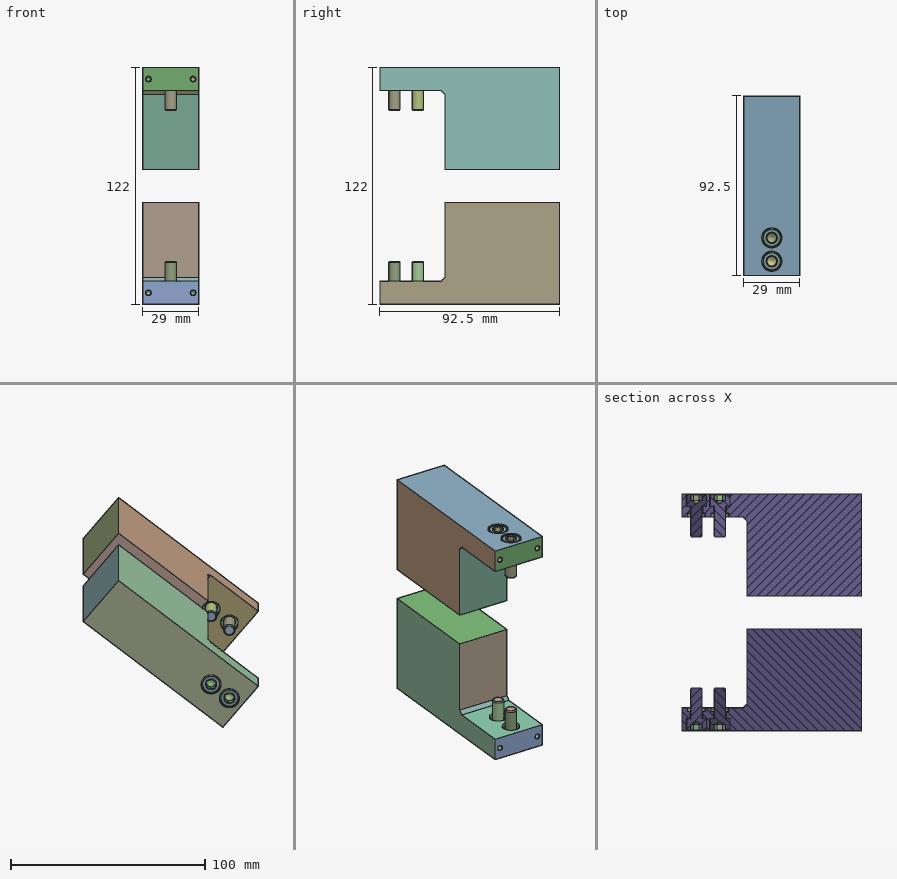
import cadquery as cq
import math

width = 29.0
length = 92.5
height = 122.0

jaw_height = 52.6
arm_length = 33.4
arm_thickness = 12.0
corner_chamfer = 2.0

drill_point_angle = 118

end_hole_diameter = 2.5
end_hole_depth = 5.0
end_hole_mouth_diameter = 2.9
end_hole_spacing = 22.9
end_hole_mouth_angle = 90

screw_offsets = (7.5, 19.5)
counterbore_diameter = 10.4
clearance_diameter = 6.3
relief_diameter = 9.0
relief_depth = 2.0

head_recess = 0.2
head_diameter = 10.0
head_height = 6.0
head_chamfer = 0.6
shank_diameter = 6.0
shank_length = 16.0
tip_chamfer = 0.6
socket_flats = 5.0
socket_corners = socket_flats / math.cos(math.pi / 6)
socket_depth = 3.0
socket_turn = 30

front_y = -length / 2
back_y = length / 2
outer_z = height / 2
jaw_inner_z = outer_z - jaw_height
arm_inner_z = outer_z - arm_thickness
head_top_z = outer_z - head_recess
head_seat_z = head_top_z - head_height


def rod(diameter, y, z_top, z_bottom):
    """Vertical cylinder on the jaw's middle plane."""
    return (
        cq.Workplane("XY", origin=(0, y, z_bottom))
        .circle(diameter / 2)
        .extrude(z_top - z_bottom)
    )


def cone(point, direction, base_diameter, included_angle):
    """Solid cone with its base centred on a point and its tip along a direction."""
    depth = base_diameter / 2 / math.tan(math.radians(included_angle / 2))
    solid = cq.Solid.makeCone(base_diameter / 2, 0, depth, cq.Vector(*point), cq.Vector(*direction))
    return cq.Workplane(obj=solid)


def end_hole(x):
    """Blind drilled hole with a chamfered mouth in the arm's end face."""
    z = outer_z - arm_thickness / 2
    bottom = (x, front_y + end_hole_depth, z)
    bore = cq.Workplane("XZ", origin=(x, front_y, z)).circle(end_hole_diameter / 2).extrude(-end_hole_depth)
    drill_point = cone(bottom, (0, 1, 0), end_hole_diameter, drill_point_angle)
    mouth = cone((x, front_y, z), (0, 1, 0), end_hole_mouth_diameter, end_hole_mouth_angle)
    return bore.union(drill_point).union(mouth)


def screw_hole(y):
    """Counterbore for the head, clearance bore, and relief where the shank leaves the arm."""
    counterbore = rod(counterbore_diameter, y, outer_z, head_seat_z)
    clearance = rod(clearance_diameter, y, outer_z, arm_inner_z)
    relief = rod(relief_diameter, y, arm_inner_z + relief_depth, arm_inner_z)
    return counterbore.union(clearance).union(relief)


def upper_jaw():
    """Jaw with its arm along the top, its tall body reaching down behind it."""
    step_y = front_y + arm_length
    body = (
        cq.Workplane("YZ", origin=(-width / 2, 0, 0))
        .moveTo(front_y, outer_z)
        .lineTo(back_y, outer_z)
        .lineTo(back_y, jaw_inner_z)
        .lineTo(step_y, jaw_inner_z)
        .lineTo(step_y, arm_inner_z - corner_chamfer)
        .lineTo(step_y - corner_chamfer, arm_inner_z)
        .lineTo(front_y, arm_inner_z)
        .close()
        .extrude(width)
    )
    for side in (-1, 1):
        body = body.cut(end_hole(side * end_hole_spacing / 2))
    for offset in screw_offsets:
        body = body.cut(screw_hole(front_y + offset))
    return body


def upper_screw(y):
    """Socket-head screw pointing down, its head sunk into the top of the arm."""
    head = rod(head_diameter, y, head_top_z, head_seat_z).faces(">Z").chamfer(head_chamfer)
    shank = rod(shank_diameter, y, head_seat_z, head_seat_z - shank_length).faces("<Z").chamfer(tip_chamfer)
    socket = (
        cq.Workplane("XY", origin=(0, y, head_top_z))
        .transformed(rotate=(0, 0, socket_turn))
        .polygon(6, socket_corners)
        .extrude(-socket_depth)
    )
    socket_bottom = cone((0, y, head_top_z - socket_depth), (0, 0, -1), socket_flats, drill_point_angle)
    socket_mouth = cone((0, y, head_top_z), (0, 0, -1), socket_corners, drill_point_angle)
    return head.union(shank).cut(socket).cut(socket_bottom).cut(socket_mouth)


upper_jaw_body = upper_jaw()
upper_screws = [upper_screw(front_y + offset) for offset in screw_offsets]

lower_jaw_body = upper_jaw_body.mirror("XY")
lower_screws = [screw.mirror("XY") for screw in upper_screws]

jaws = [upper_jaw_body, lower_jaw_body]
screws = upper_screws + lower_screws
result = cq.Compound.makeCompound([body.val() for body in jaws + screws])